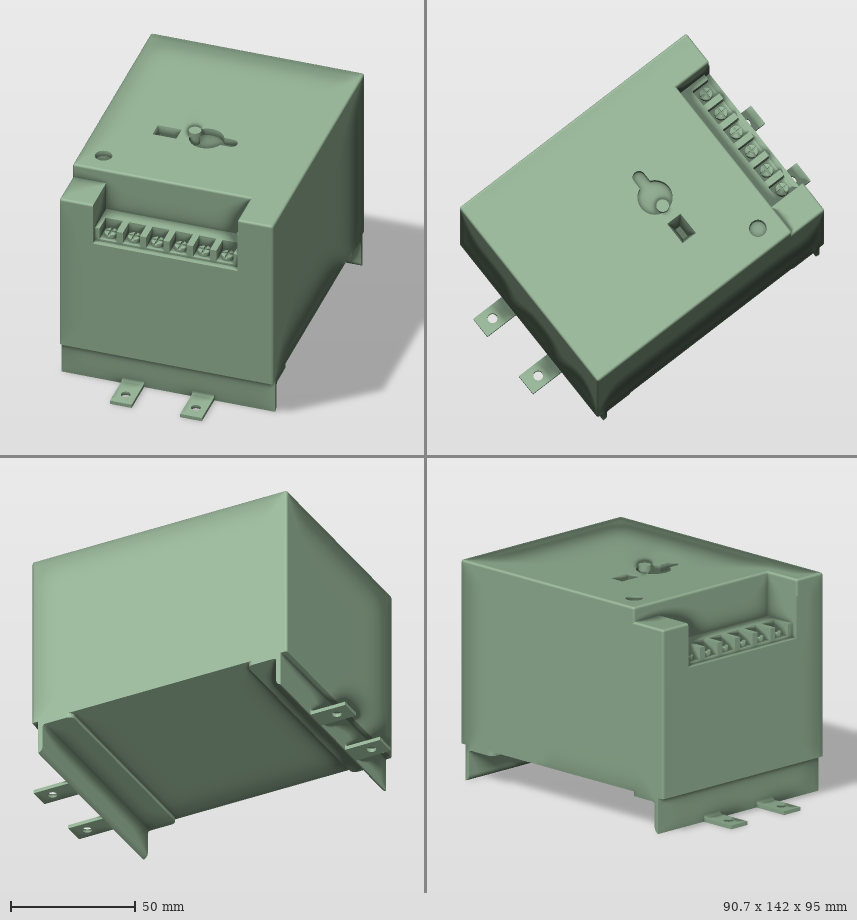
import cadquery as cq
import math


overall_length = 142.0
housing_width = 90.7
housing_length = 116.2
housing_height = 77.0
bracket_height = 15.0
knob_rise = 3.0
edge_radius = 1.0
housing_top = bracket_height + housing_height
housing_front = -housing_length / 2
housing_left = -housing_width / 2

step_depth = 6.1
step_right = 30.2
step_back = -41.3
step_floor = housing_top - step_depth

bay_left = -31.1
bay_depth = 24.7
bay_floor = housing_top - bay_depth
block_height = 6.1
block_depth = 14.2
block_front = step_back - block_depth

terminal_count = 6
terminal_pitch = 10.0
terminals_center = -0.7
slot_width = 7.2
slot_length = 8.1
slot_floor_height = 1.0
screw_radius = 2.7
screw_height = 2.1
screw_edge_radius = 0.5
screw_offset = 4.0
cross_width = 1.0
cross_depth = 1.0

window_x = -16.6
window_y = -7.2
window_length = 10.1
window_width = 6.8
window_floor_length = 5.1
window_floor_width = 2.3
window_depth = 9.2
lamp_x = -35.5
lamp_y = -31.5
lamp_radius = 3.5
lamp_floor_radius = 3.3
lamp_depth = 2.3
dial_y = -6.7
dial_radius = 7.1
dial_slot_width = 5.3
dial_slot_reach = 13.0
dial_depth = 3.1

knob_x = -5.0
knob_radius = 2.5
knob_neck_radius = 2.0
knob_head_height = 2.3

sheet = 2.0
wall_outer = 55.2
flange_end = 39.9
flange_corner_radius = 2.4
foot_thickness = 1.5
bend_inner_radius = 1.3
bend_outer_radius = 2.7
foot_spacing = 29.8
foot_width = 9.2
foot_hole_y = 64.8
foot_hole_diameter = 4.0


def box(x_min, x_max, y_min, y_max, z_min, z_max):
    """Box given by its limits along each axis."""
    size = (x_max - x_min, y_max - y_min, z_max - z_min)
    return cq.Workplane("XY").box(*size, centered=False).translate((x_min, y_min, z_min))


def housing_shell():
    """Block with a stepped front roof edge and rounded outer edges."""
    block = box(housing_left, -housing_left, housing_front, -housing_front, bracket_height, housing_top)
    step = box(housing_left, step_right, housing_front, step_back, step_floor, housing_top)
    shell = block.cut(step)
    inner_corner = cq.Vertex.makeVertex(step_right, step_back, step_floor)
    outer_edges = shell.edges("not <Z").filter(lambda edge: edge.distance(inner_corner) > edge_radius)
    return outer_edges.fillet(edge_radius)


def terminal_screw(x):
    """Cross-head screw standing on the floor of a terminal slot."""
    floor = bay_floor + slot_floor_height
    y = block_front + screw_offset
    head = cq.Workplane("XY").circle(screw_radius).extrude(screw_height)
    head = head.faces(">Z").edges().fillet(screw_edge_radius)
    for size in ((2 * screw_radius, cross_width), (cross_width, 2 * screw_radius)):
        cross = cq.Workplane("XY").workplane(offset=screw_height - cross_depth).rect(*size).extrude(cross_depth)
        head = head.cut(cross)
    return head.translate((x, y, floor))


def add_terminals(body):
    """Cut the terminal bay and leave a slotted block with screws in it."""
    body = body.cut(box(bay_left, step_right, housing_front, step_back, bay_floor, step_floor))
    block = box(bay_left, step_right, block_front, step_back, bay_floor, bay_floor + block_height)
    body = body.union(block)
    for index in range(terminal_count):
        x = terminals_center + (index - (terminal_count - 1) / 2) * terminal_pitch
        slot = box(x - slot_width / 2, x + slot_width / 2, block_front, block_front + slot_length,
                   bay_floor + slot_floor_height, bay_floor + block_height)
        body = body.cut(slot).union(terminal_screw(x))
    return body


def window_recess():
    """Rectangular recess narrowing towards its floor."""
    return (
        cq.Workplane("XY", origin=(window_x, window_y, housing_top))
        .rect(window_length, window_width)
        .workplane(offset=-window_depth)
        .rect(window_floor_length, window_floor_width)
        .loft(ruled=True)
    )


def lamp_recess():
    """Shallow round recess with a tapered wall."""
    return (
        cq.Workplane("XY", origin=(lamp_x, lamp_y, housing_top))
        .circle(lamp_radius)
        .workplane(offset=-lamp_depth)
        .circle(lamp_floor_radius)
        .loft(ruled=True)
    )


def dial_recess():
    """Round recess with a round-ended slot leading off to +X."""
    roof = cq.Workplane("XY", origin=(0, dial_y, housing_top))
    disc = roof.circle(dial_radius).extrude(-dial_depth)
    slot_length = dial_slot_reach + dial_slot_width / 2
    slot_center = dial_slot_reach - slot_length / 2
    slot = roof.center(slot_center, 0).slot2D(slot_length, dial_slot_width).extrude(-dial_depth)
    return disc.union(slot)


def bracket():
    """Sheet bracket at the +Y end: flange under the housing, wall, and two drilled feet."""
    wall_inner = wall_outer - sheet
    flange_bottom = bracket_height - sheet
    bend_rise = math.sqrt(bend_outer_radius**2 - (bend_outer_radius - sheet) ** 2)
    body = (
        cq.Workplane("YZ", origin=(housing_left, 0, 0))
        .moveTo(wall_outer, 0)
        .lineTo(wall_outer, bracket_height)
        .lineTo(flange_end, bracket_height)
        .lineTo(flange_end, flange_bottom)
        .lineTo(wall_inner - bend_inner_radius, flange_bottom)
        .radiusArc((wall_inner, flange_bottom - bend_inner_radius), bend_inner_radius)
        .lineTo(wall_inner, bend_rise)
        .radiusArc((wall_outer, 0), -bend_outer_radius)
        .close()
        .extrude(housing_width)
    )
    body = body.edges("|Z and <Y").fillet(flange_corner_radius)
    for x in (-foot_spacing / 2, foot_spacing / 2):
        body = body.union(foot(x))
    return body


def foot(x):
    """Drilled foot with a rounded inside bend against the bracket wall."""
    tip = overall_length / 2
    bend_top = foot_thickness + bend_inner_radius
    return (
        cq.Workplane("YZ", origin=(x - foot_width / 2, 0, 0))
        .moveTo(wall_outer, 0)
        .lineTo(tip, 0)
        .lineTo(tip, foot_thickness)
        .lineTo(wall_outer + bend_inner_radius, foot_thickness)
        .radiusArc((wall_outer, bend_top), bend_inner_radius)
        .close()
        .extrude(foot_width)
        .cut(cq.Workplane("XY").center(x, foot_hole_y).circle(foot_hole_diameter / 2).extrude(foot_thickness))
    )


def make_housing():
    """Housing with its terminals, roof recesses and both mounting brackets."""
    body = add_terminals(housing_shell())
    body = body.cut(window_recess()).cut(lamp_recess()).cut(dial_recess())
    rear_bracket = bracket()
    for part in (rear_bracket, rear_bracket.mirror("XZ")):
        body = body.union(part, clean=False)
    return body


def make_knob():
    """Round head on a thinner neck that stands on the floor of the dial recess."""
    neck_height = dial_depth + knob_rise - knob_head_height
    base = cq.Workplane("XY", origin=(knob_x, dial_y, housing_top - dial_depth))
    neck = base.circle(knob_neck_radius).extrude(neck_height)
    return neck.faces(">Z").workplane().circle(knob_radius).extrude(knob_head_height)


housing = make_housing()
knob = make_knob()
result = cq.Compound.makeCompound([*housing.solids().vals(), knob.val()])